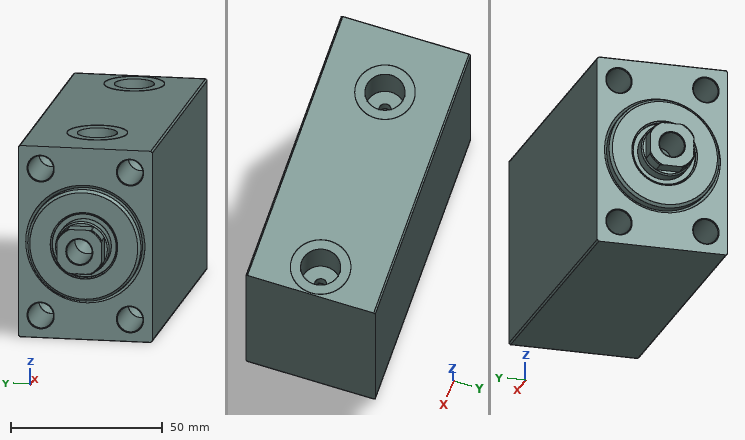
import cadquery as cq
import math


overall_length = 111.0
front_protrusion = 11.0
housing_length = overall_length - front_protrusion
housing_width = 45.0
housing_height = 65.0
housing_edge_chamfer = 0.5

mount_spacing_y = 30.0
mount_spacing_z = 50.0
mount_diameter = 8.5
mount_mouth_chamfer = 0.28
mount_depth = 20.0
drill_point_angle = 118.0

port_positions = (22.0, 89.5)
port_diameter = 13.2
port_depth = 13.0
spotface_diameter = 20.0
spotface_depth = 0.1
passage_diameter = 4.0

bore_diameter = 32.0
rear_wall = 8.0
gland_diameter = 38.0
gland_seat_depth = 18.0
gland_seat_chamfer = 1.0

gland_protrusion = 2.8
gland_chamfer = 0.9
wiper_recess_diameter = 21.5
wiper_recess_depth = 1.3
wiper_step_diameter = 22.5
wiper_step_depth = 0.5

rod_diameter = 18.0
shoulder_protrusion = 6.0
shoulder_chamfer = 0.5
head_diameter = 17.0
head_chamfer = 0.3
head_across_flats = 15.0
rod_hole_diameter = 8.5
rod_hole_mouth_chamfer = 0.28
rod_hole_depth = 15.0

piston_front = 23.4
piston_rear = 87.6


def x_cylinder(diameter, start, end):
    """Solid cylinder on the X axis between two X positions."""
    return cq.Workplane("YZ", origin=(start, 0, 0)).circle(diameter / 2).extrude(end - start)


def x_cone(start_diameter, end_diameter, start, end):
    """Solid cone or cone frustum on the X axis between two X positions."""
    profile = [
        (start, 0),
        (start, start_diameter / 2),
        (end, end_diameter / 2),
        (end, 0),
    ]
    if end_diameter == 0:
        profile.pop()
    return cq.Workplane("XY").polyline(profile).close().revolve(360, (0, 0, 0), (1, 0, 0))


def drilled_hole(diameter, depth, mouth_chamfer, mouth):
    """Cutter for a blind hole along +X with a chamfered mouth and a drill-point bottom."""
    bottom = mouth + depth
    point_length = diameter / 2 / math.tan(math.radians(drill_point_angle / 2))
    mouth_diameter = diameter + 2 * mouth_chamfer
    return (
        x_cylinder(diameter, mouth, bottom)
        .union(x_cone(mouth_diameter, diameter, mouth, mouth + mouth_chamfer))
        .union(x_cone(diameter, 0, bottom, bottom + point_length))
    )


def z_cylinder(diameter, x, bottom, top):
    """Solid vertical cylinder over the X axis."""
    return cq.Workplane("XY", origin=(x, 0, bottom)).circle(diameter / 2).extrude(top - bottom)


def make_port(x):
    """Cutter for one oil port: shallow spotface, wide bore and passage to the cylinder bore."""
    top = housing_height / 2
    return (
        z_cylinder(spotface_diameter, x, top - spotface_depth, top)
        .union(z_cylinder(port_diameter, x, top - port_depth, top))
        .union(z_cylinder(passage_diameter, x, 0, top))
    )


def make_housing():
    """Block with the cylinder bore, gland seat, mounting holes and oil ports."""
    housing = (
        cq.Workplane("XY")
        .box(housing_length, housing_width, housing_height, centered=(False, True, True))
        .edges("|X")
        .chamfer(housing_edge_chamfer)
    )
    seat_mouth_diameter = gland_diameter + 2 * gland_seat_chamfer
    housing = (
        housing.cut(x_cylinder(bore_diameter, 0, housing_length - rear_wall))
        .cut(x_cylinder(gland_diameter, 0, gland_seat_depth))
        .cut(x_cone(seat_mouth_diameter, gland_diameter, 0, gland_seat_chamfer))
    )
    mount_hole = drilled_hole(mount_diameter, mount_depth, mount_mouth_chamfer, 0)
    for side_y in (-1, 1):
        for side_z in (-1, 1):
            offset = (0, side_y * mount_spacing_y / 2, side_z * mount_spacing_z / 2)
            housing = housing.cut(mount_hole.translate(offset))
    for x in port_positions:
        housing = housing.cut(make_port(x))
    return housing


def make_gland():
    """Rod guide with a chamfered nose and a two-step recess around the rod."""
    face = -gland_protrusion
    gland = x_cylinder(gland_diameter, face, gland_seat_depth).faces("<X").chamfer(gland_chamfer)
    return (
        gland.cut(x_cylinder(rod_diameter, face, gland_seat_depth))
        .cut(x_cylinder(wiper_recess_diameter, face, face + wiper_recess_depth))
        .cut(x_cylinder(wiper_step_diameter, face, face + wiper_step_depth))
    )


def make_rod():
    """Piston rod: four-flat head, shaft and piston in one piece."""
    tip = -front_protrusion
    head = x_cylinder(head_diameter, tip, -shoulder_protrusion).faces("<X").chamfer(head_chamfer)
    flats = cq.Workplane("YZ", origin=(tip, 0, 0)).rect(head_across_flats, head_across_flats)
    head = head.intersect(flats.extrude(front_protrusion))
    shaft = x_cylinder(rod_diameter, -shoulder_protrusion, housing_length - rear_wall)
    shaft = shaft.faces("<X").chamfer(shoulder_chamfer)
    piston = x_cylinder(bore_diameter, piston_front, piston_rear)
    rod = shaft.union(head).union(piston)
    return rod.cut(drilled_hole(rod_hole_diameter, rod_hole_depth, rod_hole_mouth_chamfer, tip))


housing = make_housing()
gland = make_gland()
rod = make_rod()

result = cq.Compound.makeCompound([housing.val(), gland.val(), rod.val()])